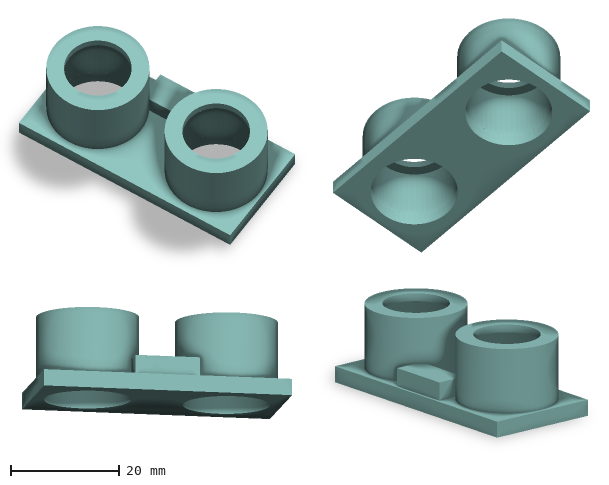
import cadquery as cq

plate_length = 46.7
plate_width = 22.0
plate_thickness = 3.1

total_height = 15.5
tube_height = total_height - plate_thickness
tube_diameter = 19.1
cavity_diameter = 16.1
mouth_diameter = 12.5
lip_thickness = 1.5
tube_spacing = 26.15
tube_centers = [(-tube_spacing / 2, 0), (tube_spacing / 2, 0)]

block_length = 12.15
block_width = 5.9
block_height = 3.5
block_back_gap = 0.55
block_center_y = plate_width / 2 - block_back_gap - block_width / 2


def cylinder(center, diameter, base_z, height):
    """Upright cylinder with its lower face at base_z."""
    return (
        cq.Workplane("XY", origin=(*center, base_z))
        .circle(diameter / 2)
        .extrude(height)
    )


def make_plate():
    """Flat plate with the tube cavities continuing through it."""
    return (
        cq.Workplane("XY")
        .box(plate_length, plate_width, plate_thickness, centered=(True, True, False))
        .faces(">Z")
        .workplane()
        .pushPoints(tube_centers)
        .hole(cavity_diameter)
    )


def make_tube(center):
    """Tube with a wide cavity below a narrower mouth."""
    outside = cylinder(center, tube_diameter, plate_thickness, tube_height)
    cavity = cylinder(center, cavity_diameter, plate_thickness, tube_height - lip_thickness)
    mouth = cylinder(center, mouth_diameter, plate_thickness, tube_height)
    return outside.cut(cavity).cut(mouth)


def make_block():
    """Rectangular block whose front corners are hollowed to fit the tubes."""
    block = cq.Workplane("XY", origin=(0, block_center_y, plate_thickness)).box(
        block_length, block_width, block_height, centered=(True, True, False)
    )
    for center in tube_centers:
        block = block.cut(cylinder(center, tube_diameter, plate_thickness, tube_height))
    return block


plate = make_plate()
tubes = [make_tube(center) for center in tube_centers]
block = make_block()

result = cq.Compound.makeCompound([plate.val(), *[tube.val() for tube in tubes], block.val()])